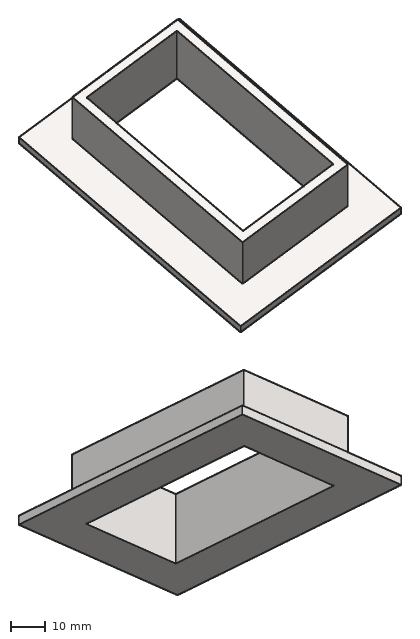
import cadquery as cq

flange_length = 95.0
flange_width = 64.0
flange_thickness = 3.0

wall_thickness = 3.0
collar_length = 73.0
collar_width = 42.0
collar_height = 20.0

opening_length = collar_length - 2 * wall_thickness
opening_width = collar_width - 2 * wall_thickness
total_height = flange_thickness + collar_height


def centred_block(length, width, height):
    """Block centred on the Z axis with its base at Z = 0."""
    return cq.Workplane("XY").box(length, width, height, centered=(True, True, False))


flange = centred_block(flange_length, flange_width, flange_thickness)
collar = centred_block(collar_length, collar_width, total_height)
opening = centred_block(opening_length, opening_width, total_height)

result = flange.union(collar).cut(opening)